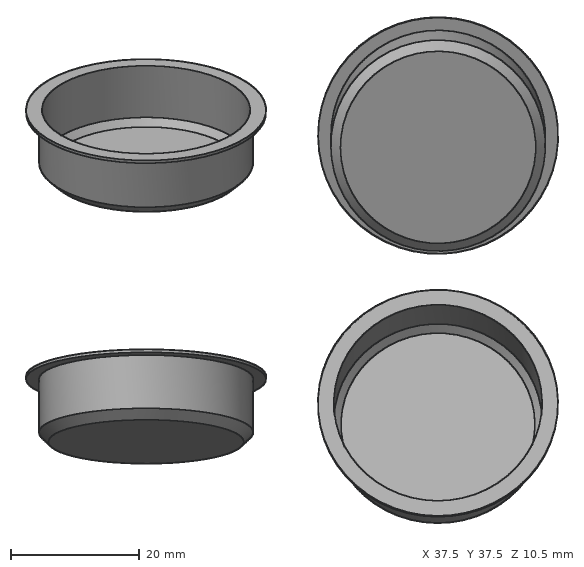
import cadquery as cq

flange_diameter = 37.5
body_diameter = 33.5
bore_diameter = 32.5
height = 10.5
flange_thickness = 0.5
floor_thickness = 0.5
outer_chamfer = 1.5
inner_chamfer = 1.12


def disc(diameter, bottom, thickness):
    """Round disc on the Z axis, starting at height bottom."""
    return cq.Workplane("XY").workplane(offset=bottom).circle(diameter / 2).extrude(thickness)


body = disc(body_diameter, 0, height).faces("<Z").chamfer(outer_chamfer)

flange = disc(flange_diameter, height - flange_thickness, flange_thickness)

cavity = disc(bore_diameter, floor_thickness, height - floor_thickness)
cavity = cavity.faces("<Z").chamfer(inner_chamfer)

result = body.union(flange).cut(cavity)